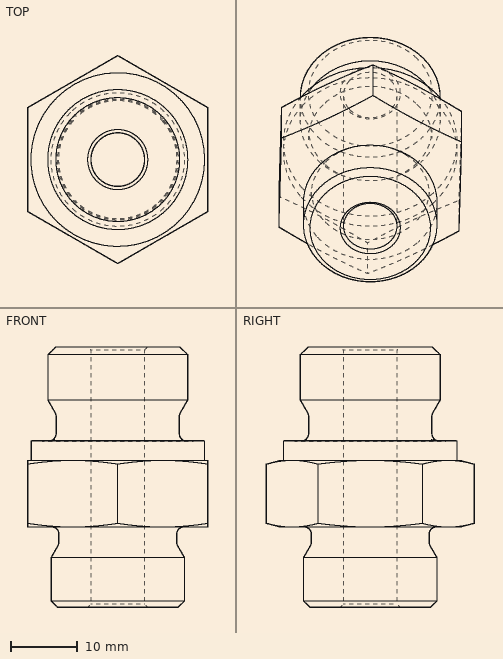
import cadquery as cq
import math

total_height = 39.0
hex_bottom = 12.0
hex_top = 22.0
collar_top = 25.0

across_flats = 27.0
hex_chamfer_angle = 15.0

collar_dia = 26.0
collar_edge_width = 0.45
collar_edge_height = 0.08
dish_depth = 0.35

upper_dia = 21.0
upper_neck_dia = 18.45
upper_end_chamfer = 1.2
upper_end_chamfer_height = 1.17
upper_thread_bottom = 31.05
upper_fillet = 1.3

lower_dia = 20.0
lower_neck_dia = 17.7
lower_end_chamfer = 0.98
lower_end_chamfer_height = 0.95
lower_thread_top = 7.45
lower_root_fillet = 1.0
lower_cone_fillet = 0.78

undercut_angle = 30.0

bore_dia = 8.0
bore_chamfer = 0.5


def undercut_height(stud_dia, neck_dia):
    """Axial length of the cone joining a stud to its neck."""
    return (stud_dia - neck_dia) / 2 / math.tan(math.radians(undercut_angle))


def revolve_outline(points):
    """Revolve a closed (radius, height) outline about Z."""
    return cq.Workplane("XZ").polyline(points).close().revolve(360, (0, 0), (0, 1))


def fillet_circles(body, radius, heights, fillet):
    """Round the circular edges of the given radius at the given heights."""
    tolerance = 0.02
    for height in heights:
        box = cq.selectors.BoxSelector(
            (-radius - tolerance, -radius - tolerance, height - tolerance),
            (radius + tolerance, radius + tolerance, height + tolerance),
            boundingbox=True,
        )
        body = body.edges("%CIRCLE").edges(box).fillet(fillet)
    return body


def make_hexagon():
    """Hexagon whose corners are turned off by a shallow cone at both ends."""
    corner_dia = across_flats / math.cos(math.radians(30))
    corner_radius = corner_dia / 2
    flat_radius = across_flats / 2
    drop = (corner_radius - flat_radius) * math.tan(math.radians(hex_chamfer_angle))
    prism = (
        cq.Workplane("XY")
        .workplane(offset=hex_bottom)
        .polygon(6, corner_dia)
        .extrude(hex_top - hex_bottom)
        .rotate((0, 0, 0), (0, 0, 1), 30)
    )
    envelope = revolve_outline([
        (0, hex_bottom),
        (flat_radius, hex_bottom),
        (corner_radius, hex_bottom + drop),
        (corner_radius, hex_top - drop),
        (flat_radius, hex_top),
        (0, hex_top),
    ])
    return prism.intersect(envelope)


def make_upper_stud():
    """Collar, neck and upper stud as one turned body."""
    stud_radius = upper_dia / 2
    neck_radius = upper_neck_dia / 2
    collar_radius = collar_dia / 2
    neck_bottom = collar_top - dish_depth
    neck_top = upper_thread_bottom - undercut_height(upper_dia, upper_neck_dia)
    body = revolve_outline([
        (0, hex_top),
        (collar_radius, hex_top),
        (collar_radius, collar_top - collar_edge_height),
        (collar_radius - collar_edge_width, collar_top),
        (neck_radius, neck_bottom),
        (neck_radius, neck_top),
        (stud_radius, upper_thread_bottom),
        (stud_radius, total_height - upper_end_chamfer_height),
        (stud_radius - upper_end_chamfer, total_height),
        (0, total_height),
    ])
    return fillet_circles(body, neck_radius, [neck_bottom, neck_top], upper_fillet)


def make_lower_stud():
    """Lower stud and its neck, ending at the underside of the hexagon."""
    stud_radius = lower_dia / 2
    neck_radius = lower_neck_dia / 2
    neck_bottom = lower_thread_top + undercut_height(lower_dia, lower_neck_dia)
    body = revolve_outline([
        (0, 0),
        (stud_radius - lower_end_chamfer, 0),
        (stud_radius, lower_end_chamfer_height),
        (stud_radius, lower_thread_top),
        (neck_radius, neck_bottom),
        (neck_radius, hex_bottom),
        (0, hex_bottom),
    ])
    return fillet_circles(body, neck_radius, [neck_bottom], lower_cone_fillet)


def make_bore():
    """Through bore with a chamfer at each mouth."""
    radius = bore_dia / 2
    mouth_radius = radius + bore_chamfer
    return revolve_outline([
        (0, 0),
        (mouth_radius, 0),
        (radius, bore_chamfer),
        (radius, total_height - bore_chamfer),
        (mouth_radius, total_height),
        (0, total_height),
    ])


body = make_hexagon().union(make_upper_stud()).union(make_lower_stud())
body = fillet_circles(body, lower_neck_dia / 2, [hex_bottom], lower_root_fillet)
result = body.cut(make_bore())